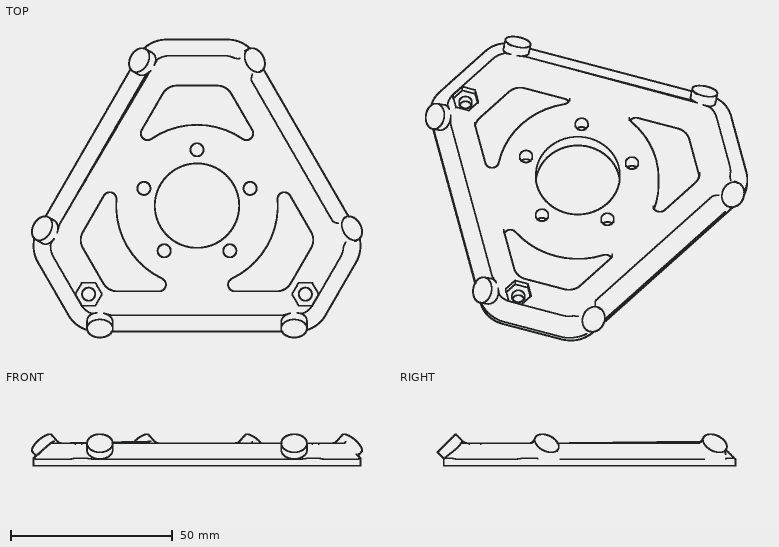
import cadquery as cq
import math

thickness = 7.0
rim_height = 2.0
long_side_distance = 38.9
short_side_distance = 51.3
bevel_angle = 45
corner_radius = 10.0

bore_diameter = 26.0
hole_diameter = 4.0
hub_hole_count = 5
hub_hole_circle_radius = 17.2
first_hub_hole_angle = 90

hub_radius = 25.0
window_long_distance = 26.4
window_short_distance = 37.0
window_corner_radius = 5.0
window_tip_radius = 2.0
window_edge_radius = 2.0

nut_x = 33.4
nut_y = -27.3
nut_across_flats = 7.1
nut_depth = 3.1

seat_diameter = 8.0
seat_spread = 30.0
seat_face_distance = 37.9
seat_tilt = bevel_angle
stud_length = 4.1
seat_fillet = 2.0
dish_radius = 5.6

three_turns = (0, 120, 240)
right_side_turn = 120
short_side_angle = 90
side_normal = 30
hex_half_corner = math.radians(30)

tolerance = 0.01


def side_crossing(long_distance, short_distance):
    """Half length of a short side where it meets the neighbouring long sides."""
    side_slope = math.radians(side_normal)
    return (long_distance - short_distance * math.sin(side_slope)) / math.cos(side_slope)


def turned(shape, angle):
    """The shape turned about the Z axis, in degrees."""
    return shape.rotate((0, 0, 0), (0, 0, 1), angle)


def at_angle(radius, degrees):
    """Point at a distance and direction from the Z axis."""
    angle = math.radians(degrees)
    return cq.Vector(radius * math.cos(angle), radius * math.sin(angle))


def plate_hexagon(growth):
    """Hexagon of long and short sides, moved outward by the growth."""
    short_distance = short_side_distance + growth
    half_short = side_crossing(long_side_distance + growth, short_distance)
    corner_distance = math.hypot(half_short, short_distance)
    half_angle = math.degrees(math.atan2(half_short, short_distance))
    corners = []
    for turn in three_turns:
        for angle in (short_side_angle - half_angle, short_side_angle + half_angle):
            corner = at_angle(corner_distance, turn + angle)
            corners.append((corner.x, corner.y))
    return cq.Workplane("XY").polyline(corners).close()


def make_plate():
    """The rounded prism and the rounded 45 degree pyramid that bevels it."""
    prism = plate_hexagon(0).extrude(thickness).edges("|Z").fillet(corner_radius)
    pyramid = plate_hexagon(rim_height).extrude(thickness, taper=bevel_angle)
    pyramid = pyramid.edges("not #Z").fillet(corner_radius)
    return prism.intersect(pyramid)


def make_window():
    """Window of the +Y short side: straight walls outside, the hub arc inside, rounded tips between."""
    half_short = side_crossing(window_long_distance, window_short_distance)
    tip_distance = hub_radius + window_tip_radius
    tip_angle = side_normal + math.degrees(
        math.acos((window_long_distance - window_tip_radius) / tip_distance)
    )
    tip_centre = at_angle(tip_distance, tip_angle)
    side_end = tip_centre + at_angle(window_tip_radius, side_normal)
    tip_middle = tip_centre + at_angle(window_tip_radius, (side_normal + tip_angle - 180) / 2)
    hub_end = at_angle(hub_radius, tip_angle)
    window = (
        cq.Workplane("XY")
        .moveTo(-half_short, window_short_distance)
        .lineTo(half_short, window_short_distance)
        .lineTo(side_end.x, side_end.y)
        .threePointArc((tip_middle.x, tip_middle.y), (hub_end.x, hub_end.y))
        .threePointArc((0, hub_radius), (-hub_end.x, hub_end.y))
        .threePointArc((-tip_middle.x, tip_middle.y), (-side_end.x, side_end.y))
        .close()
        .extrude(thickness)
    )
    return window.edges("|Z and >Y").fillet(window_corner_radius)


def cut_windows(plate):
    """Three windows with rounded top edges."""
    window = make_window()
    for turn in three_turns:
        plate = plate.cut(turned(window, turn))
    window_wires = plate.faces(">Z").val().innerWires()
    rim_edges = [edge for wire in window_wires for edge in wire.Edges()]
    return plate.newObject(rim_edges).fillet(window_edge_radius)


def add_seat(plate, lowest_fillet):
    """Stud square to the -Y bevel, near its +X end, filleted where its root lies above a height."""
    tilt = math.radians(seat_tilt)
    face_centre = cq.Vector(seat_spread, -seat_face_distance, thickness)
    face = cq.Plane(face_centre, (1, 0, 0), (0, -math.sin(tilt), math.cos(tilt)))
    stud = cq.Workplane(face).circle(seat_diameter / 2).extrude(-stud_length)

    def is_root(edge):
        """True for the joints between the stud's round wall and the plate."""
        points = [edge.positionAt(part) for part in (0, 0.25, 0.5, 0.75, 1)]
        local_points = [face.toLocalCoords(point) for point in points]
        on_wall = all(abs(math.hypot(p.x, p.y) - seat_diameter / 2) < tolerance for p in local_points)
        below_face = all(p.z < -tolerance for p in local_points)
        high_enough = all(point.z > lowest_fillet - tolerance for point in points)
        return on_wall and below_face and high_enough

    root = plate.union(stud).edges().filter(is_root)
    plate = root.fillet(seat_fillet)

    dish_rise = math.sqrt(dish_radius**2 - (seat_diameter / 2) ** 2)
    ball = cq.Workplane(face).workplane(offset=dish_rise).sphere(dish_radius)
    return plate.cut(ball)


def add_seats(plate):
    """Two mirrored seats on each long side; the +X side has fillets down over its bevel as well."""
    for turn in three_turns:
        lowest_fillet = rim_height if turn == right_side_turn else thickness
        plate = turned(plate, -turn)
        for _ in range(2):
            plate = add_seat(plate, lowest_fillet).mirror("YZ")
        plate = turned(plate, turn)
    return plate


def cut_hub_holes(plate):
    """Central bore and the ring of bolt holes around it."""
    bore = cq.Workplane("XY").circle(bore_diameter / 2).extrude(thickness)
    bolts = (
        cq.Workplane("XY")
        .polarArray(hub_hole_circle_radius, first_hub_hole_angle, 360, hub_hole_count)
        .circle(hole_diameter / 2)
        .extrude(thickness)
    )
    return plate.cut(bore).cut(bolts)


def cut_nut_pockets(plate):
    """Through holes with hexagonal pockets open to the top."""
    places = [(-nut_x, nut_y), (nut_x, nut_y)]
    holes = cq.Workplane("XY").pushPoints(places).circle(hole_diameter / 2).extrude(thickness)
    pockets = (
        cq.Workplane("XY", origin=(0, 0, thickness - nut_depth))
        .pushPoints(places)
        .polygon(6, nut_across_flats / math.cos(hex_half_corner))
        .extrude(nut_depth)
    )
    return plate.cut(holes).cut(pockets)


result = make_plate()
result = cut_windows(result)
result = add_seats(result)
result = cut_hub_holes(result)
result = cut_nut_pockets(result)